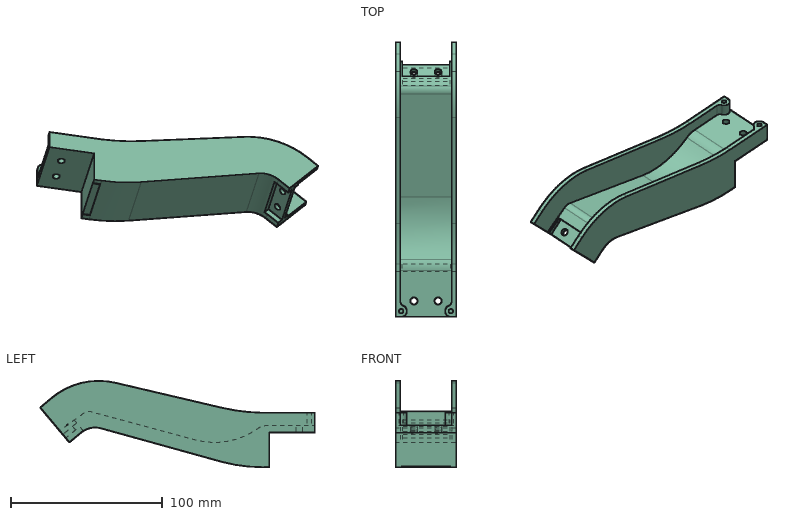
import cadquery as cq
import math

width = 40.0
length = 180.8
height = 57.0
wall = 3.0
inner_width = width - 2 * wall

tray_top = 36.0
tray_floor = 27.7
tray_bottom = 22.8
flange_y = 30.0
flange_back_y = 34.9
notch_width = 31.8
notch_depth = 0.5

clearance = 1.8

tip_angle = 40.0
tip_length = 10.0
wall_depth = 30.0
outer_bend = 48.0
inner_bend = 14.5
upper_slope = 13.2
lower_slope = 15.5
slope_foot_y = 61.5

floor_lift = 10.3
plate_lift = 7.0
plate_thickness = 3.0
plate_width = 31.1
plate_setback = 2.0

floor_slope = 15.1
crest_end_y = 152.2
crest_end_z = 35.8
crest_start_y = 146.8
crest_start_z = 36.5
crest_top_y = 148.6
crest_top_z = 36.9
dip_start_y = 79.0
ramp_y = 38.0
ramp_z = 25.5
tray_floor_end_y = 30.5

hole_diameter = 4.5
hole_x = 8.0
tray_hole_y = 10.5
tip_hole_from_end = 6.1
boss_x = width / 2 - 3.6
boss_y = 3.8
boss_radius = 3.8
boss_fillet = 3.3
screw_diameter = 2.9

tip_cos = math.cos(math.radians(tip_angle))
tip_sin = math.sin(math.radians(tip_angle))
bend_y = length - tip_length * tip_cos - outer_bend * tip_sin
bend_z = height - outer_bend

inner_shift = outer_bend - wall_depth - inner_bend
inner_bend_y = bend_y + inner_shift * tip_sin
inner_bend_z = bend_z + inner_shift * tip_cos


def on_circle(centre_y, centre_z, radius, angle):
    """Point on a circle, with the angle measured from +Z towards +Y."""
    turn = math.radians(angle)
    return centre_y + radius * math.sin(turn), centre_z + radius * math.cos(turn)


def on_outer_bend(angle):
    return on_circle(bend_y, bend_z, outer_bend, angle)


def on_inner_bend(angle):
    return on_circle(inner_bend_y, inner_bend_z, inner_bend, angle)


def on_tip(lift, along):
    """Point in the tip section: lift above the underside, distance along from the bend."""
    y, z = on_circle(inner_bend_y, inner_bend_z, inner_bend + lift, tip_angle)
    return y + along * tip_cos, z - along * tip_sin


def down_slope(start, angle, y):
    """Point at y on the line falling towards -Y from start."""
    return y, start[1] - (start[0] - y) * math.tan(math.radians(angle))


def extrude_across(profile, span):
    """Extrude a YZ profile symmetrically about X = 0."""
    return profile.close().extrude(span / 2, both=True)


def make_body():
    upper_start = on_outer_bend(-upper_slope)
    lower_start = on_inner_bend(-lower_slope)
    profile = (
        cq.Workplane("YZ")
        .moveTo(0, tray_bottom)
        .lineTo(flange_y, tray_bottom)
        .lineTo(flange_y, 0)
        .lineTo(flange_back_y, 0)
        .tangentArcPoint(down_slope(lower_start, lower_slope, slope_foot_y), relative=False)
        .lineTo(*lower_start)
        .threePointArc(on_inner_bend(0), on_tip(0, 0))
        .lineTo(*on_tip(0, tip_length))
        .lineTo(*on_tip(wall_depth, tip_length))
        .lineTo(*on_tip(wall_depth, 0))
        .threePointArc(on_outer_bend(0), upper_start)
        .lineTo(*down_slope(upper_start, upper_slope, slope_foot_y))
        .tangentArcPoint((flange_back_y, tray_top), relative=False)
        .lineTo(0, tray_top)
    )
    return extrude_across(profile, width)


def make_channel():
    """Space above the floor, between the side walls."""
    clear_z = height + clearance
    profile = (
        cq.Workplane("YZ")
        .moveTo(length + clearance, clear_z)
        .lineTo(length + clearance, on_tip(floor_lift, tip_length)[1])
        .lineTo(*on_tip(floor_lift, tip_length))
        .lineTo(crest_end_y, crest_end_z)
        .threePointArc((crest_top_y, crest_top_z), (crest_start_y, crest_start_z))
        .lineTo(*down_slope((crest_start_y, crest_start_z), floor_slope, dip_start_y))
        .tangentArcPoint((ramp_y, ramp_z), relative=False)
        .tangentArcPoint((tray_floor_end_y, tray_floor), relative=False)
        .lineTo(-clearance, tray_floor)
        .lineTo(-clearance, clear_z)
    )
    return extrude_across(profile, inner_width)


def tip_block(low, high):
    """Block of the plate's width spanning the tip section between two heights above its underside."""
    profile = cq.Workplane("YZ").polyline(
        [
            on_tip(low, -plate_setback),
            on_tip(low, tip_length + clearance),
            on_tip(high, tip_length + clearance),
            on_tip(high, -plate_setback),
        ]
    )
    return extrude_across(profile, plate_width)


def make_boss(side):
    """Screw boss in a tray corner, with a fillet running into the side wall."""
    wall_x = width / 2 - wall
    centre_gap = wall_x - boss_fillet - boss_x
    reach = boss_radius + boss_fillet
    fillet_y = boss_y + math.sqrt(reach**2 - centre_gap**2)
    touch_x = boss_x + centre_gap * boss_radius / reach
    touch_y = boss_y + (fillet_y - boss_y) * boss_radius / reach
    arc_turn = math.atan2(touch_y - fillet_y, touch_x - wall_x + boss_fillet) / 2
    middle_x = wall_x - boss_fillet + boss_fillet * math.cos(arc_turn)
    middle_y = fillet_y + boss_fillet * math.sin(arc_turn)
    boss_height = tray_top - tray_floor
    plane = cq.Workplane("XY").workplane(offset=tray_floor)
    post = plane.center(side * boss_x, boss_y).circle(boss_radius).extrude(boss_height)
    web = (
        plane.moveTo(side * boss_x, boss_y)
        .lineTo(side * touch_x, touch_y)
        .threePointArc((side * middle_x, middle_y), (side * wall_x, fillet_y))
        .lineTo(side * (wall_x + wall / 2), fillet_y)
        .lineTo(side * (wall_x + wall / 2), boss_y)
        .close()
        .extrude(boss_height)
    )
    return post.union(web).intersect(cq.Workplane("XY").box(width, length, 2 * height))


def make_tip_holes():
    y, z = on_tip(plate_lift, tip_length - tip_hole_from_end)
    plane = cq.Plane(origin=(0, y, z), xDir=(1, 0, 0), normal=(0, tip_sin, tip_cos))
    return cq.Workplane(plane).pushPoints(hole_points(0)).circle(hole_diameter / 2).extrude(
        plate_lift, both=True
    )


def hole_points(y):
    return [(-hole_x, y), (hole_x, y)]


result = make_body().cut(make_channel())

result = result.cut(tip_block(plate_lift, floor_lift + clearance))
result = result.cut(tip_block(-clearance, plate_lift - plate_thickness))
result = result.cut(make_tip_holes())

flange_depth = flange_back_y - flange_y
notch = cq.Workplane("XY").box(notch_width, flange_depth, notch_depth, centered=(True, False, False))
result = result.cut(notch.translate((0, flange_y, 0)))

for side in (-1, 1):
    boss = make_boss(side)
    screw_hole = (
        cq.Workplane("XY", origin=(side * boss_x, boss_y, tray_floor))
        .circle(screw_diameter / 2)
        .extrude(tray_top - tray_floor)
    )
    result = result.union(boss).cut(screw_hole)

tray_holes = cq.Workplane("XY").workplane(offset=tray_bottom).pushPoints(hole_points(tray_hole_y))
result = result.cut(tray_holes.circle(hole_diameter / 2).extrude(tray_floor - tray_bottom))